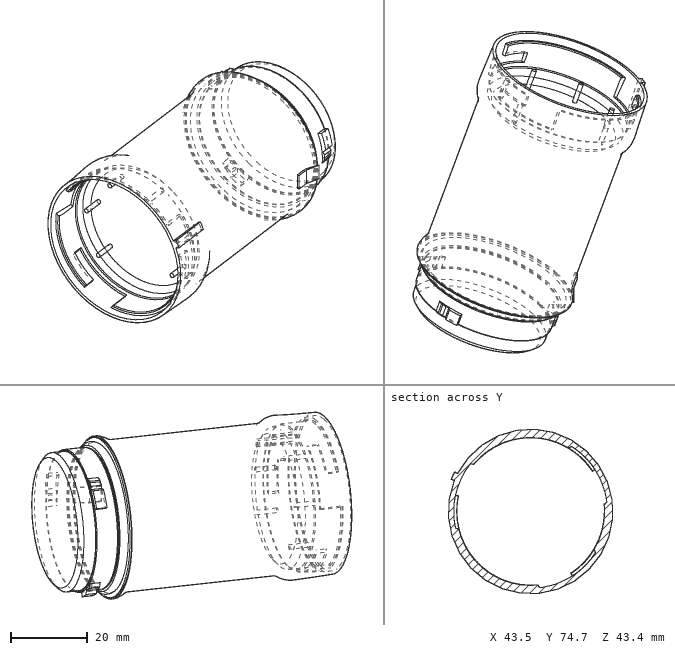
import cadquery as cq
import math


LENGTH = 74.7
BODY_R = 20.0
BELL_R = 21.7
MOUTH_R = 21.3
BELL_Y = 10.9
BELL_CROWN = (21.45, 12.4)
BELL_SHOULDER_Y = 13.6
BELL_SHOULDER_R = 20.85
BELL_FILLET = (20.25, 14.7)
BELL_END_Y = 16.0
FLANGE_START_Y = 56.8
FLANGE_FILLET = (20.2, 57.8)
FLANGE_WAIST_Y = 59.0
FLANGE_WAIST_R = 20.6
FLANGE_CROWN = (21.2, 60.15)
FLANGE_Y = 61.3
FLANGE_END_Y = 61.7
FLANGE_R = 21.45
FLANGE_LIP_R = 21.1
BEAD_END_Y = 63.8
BEAD_CREST_Y = 62.55
BEAD_START_R = 19.8
BEAD_END_R = 19.2
NECK_START_Y = 64.1
NECK_R = 18.75
NECK_CHAMFER = 0.2
NECK_GROOVE_R = NECK_R - NECK_CHAMFER
COLLAR_Y = 70.2
COLLAR_CHAMFER = 0.2
SPIGOT_R = 18.3
SPIGOT_CHAMFER = 1.2

BORE_MOUTH_R = 20.4
BORE_SEAT_R = 19.9
SEAT_Y = 8.15
THROAT_STEP_Y = 9.35
THROAT_Y = 9.65
THROAT_R = 18.9
CONE_Y = 11.95
CONE_R = 18.7
DISC_Y = 13.45
DISC_R = 17.1

LAND_R = 19.2
LAND_Y = 2.1
BORE_LAND_R = BORE_MOUTH_R + (BORE_SEAT_R - BORE_MOUTH_R) * LAND_Y / SEAT_Y
LAND_CHAMFER = 0.3
LAND_LEAD_Y = 3.4
LAND_LEAD_R = 19.35
SLOT_Y = 5.3
ENTRY_STARTS = (12.2, 147.0, 237.0)
ENTRY_SPAN = 28.0
STOP_DRAFT = 2.5
SLOT_SPAN = 26.6

PIN_R = 0.6
PIN_CIRCLE_R = 14.8
PIN_TIP_Y = 7.9
PIN_ROOT = 0.75
PIN_ANGLES = (15.0, 67.0, 119.0, 171.0, 223.0, 330.0)

LATCH_START_Y = 67.0
LATCH_END_Y = 69.95
LATCH_R = 20.0
LATCH_ROOT_R = NECK_R - 0.75
TOOTH_TIP_R = 19.5
TOOTH_ROOT_R = 19.3
LATCH_VALLEY_R = 19.0
FIRST_TIP = 4.0
SECOND_ROOT = 5.0
SECOND_TIP = 8.5
LATCH_VALLEY = 10.5
TEETH_SPAN = 13.0
LATCHES = ((-4.5, 14.0), (128.0, 14.0), (225.5, 9.5))

KEY_R = 22.35
KEY_ROOT_R = 20.8
KEY_ANGLE = 24.8
KEY_SPAN = 5.5
MARK_R = 20.5
MARK_TIP_R = 21.8
MARK_START_Y = 54.2
MARK_BEND_Y = 57.4
MARK_WIDTH = 4.2


def polar(radius, angle):
    """Point in the XZ plane at the given radius and angle in degrees."""
    turn = math.radians(angle)
    return radius * math.cos(turn), radius * math.sin(turn)


def along_y(sketch, start, end):
    """Extrude a closed XZ sketch between two Y positions."""
    return sketch.extrude(start - end).translate((0, start, 0))


def revolve(outline):
    """Close a radius-against-Y outline and spin it round the Y axis."""
    return outline.close().revolve(360, (0, 0, 0), (0, 1, 0))


def sector(first, last, outer_r, start, end):
    """Pie slice round the Y axis between two angles."""
    outline = (
        cq.Workplane("XZ")
        .lineTo(*polar(outer_r, first))
        .threePointArc(polar(outer_r, (first + last) / 2), polar(outer_r, last))
        .close()
    )
    return along_y(outline, start, end)


def make_sleeve():
    outline = (
        cq.Workplane("XY")
        .lineTo(MOUTH_R, 0)
        .lineTo(BELL_R, BELL_Y)
        .threePointArc(BELL_CROWN, (BELL_SHOULDER_R, BELL_SHOULDER_Y))
        .threePointArc(BELL_FILLET, (BODY_R, BELL_END_Y))
        .lineTo(BODY_R, FLANGE_START_Y)
        .threePointArc(FLANGE_FILLET, (FLANGE_WAIST_R, FLANGE_WAIST_Y))
        .threePointArc(FLANGE_CROWN, (FLANGE_R, FLANGE_Y))
        .lineTo(FLANGE_LIP_R, FLANGE_Y)
        .lineTo(FLANGE_LIP_R, FLANGE_END_Y)
        .lineTo(BEAD_START_R, FLANGE_END_Y)
        .threePointArc((BODY_R, BEAD_CREST_Y), (BEAD_END_R, BEAD_END_Y))
        .lineTo(NECK_GROOVE_R, BEAD_END_Y)
        .lineTo(NECK_GROOVE_R, NECK_START_Y)
        .lineTo(NECK_R, NECK_START_Y + NECK_CHAMFER)
        .lineTo(NECK_R, COLLAR_Y - COLLAR_CHAMFER)
        .lineTo(NECK_R - COLLAR_CHAMFER, COLLAR_Y)
        .lineTo(SPIGOT_R, COLLAR_Y)
        .lineTo(SPIGOT_R, LENGTH - SPIGOT_CHAMFER)
        .lineTo(SPIGOT_R - SPIGOT_CHAMFER, LENGTH)
        .lineTo(0, LENGTH)
    )
    return revolve(outline)


def make_cavity():
    """Space inside the mouth, narrowed to the land radius between the chamfered land edge and the throat."""
    outline = (
        cq.Workplane("XY")
        .lineTo(BORE_MOUTH_R, 0)
        .lineTo(BORE_LAND_R, LAND_Y)
        .lineTo(LAND_LEAD_R + LAND_CHAMFER, LAND_Y)
        .lineTo(LAND_LEAD_R, LAND_Y + LAND_CHAMFER)
        .lineTo(LAND_R, LAND_LEAD_Y)
        .lineTo(LAND_R, THROAT_STEP_Y)
        .lineTo(THROAT_R, THROAT_Y)
        .lineTo(CONE_R, CONE_Y)
        .lineTo(DISC_R, DISC_Y)
        .lineTo(0, DISC_Y)
    )
    return revolve(outline)


def pocket(first_inner, first_outer, last_inner, last_outer, start, end):
    """Annular cutter across the lands whose two ends may lean away from the radial direction."""
    inner_r = LAND_R - LAND_CHAMFER
    middle_outer = (first_outer + last_outer) / 2
    middle_inner = (first_inner + last_inner) / 2
    outline = (
        cq.Workplane("XZ")
        .moveTo(*polar(inner_r, first_inner))
        .lineTo(*polar(BORE_MOUTH_R, first_outer))
        .threePointArc(polar(BORE_MOUTH_R, middle_outer), polar(BORE_MOUTH_R, last_outer))
        .lineTo(*polar(inner_r, last_inner))
        .threePointArc(polar(inner_r, middle_inner), polar(inner_r, first_inner))
        .close()
    )
    return along_y(outline, start, end)


def make_bayonet():
    """Entries and hidden locking slots that break the lands, as deep as the tapered bore."""
    bore = revolve(
        cq.Workplane("XY")
        .lineTo(BORE_MOUTH_R, 0)
        .lineTo(BORE_SEAT_R, SEAT_Y)
        .lineTo(0, SEAT_Y)
    )
    cutters = cq.Workplane("XZ")
    for start in ENTRY_STARTS:
        entry_end = start + ENTRY_SPAN
        slot_end = start - SLOT_SPAN
        entry = pocket(start, start, entry_end, entry_end - STOP_DRAFT, 0, SEAT_Y)
        slot = pocket(slot_end, slot_end + STOP_DRAFT, start, start, SLOT_Y, SEAT_Y)
        cutters = cutters.add(entry.union(slot).intersect(bore))
    return cutters.combine()


def make_pin(angle):
    section = cq.Workplane("XZ").center(*polar(PIN_CIRCLE_R, angle)).circle(PIN_R)
    return along_y(section, PIN_TIP_Y, DISC_Y + PIN_ROOT)


def make_latch(foot, block_span):
    """Two small saw teeth and a valley, followed by a long raised block."""
    block_start = foot + TEETH_SPAN
    block_end = block_start + block_span
    outline = (
        cq.Workplane("XZ")
        .moveTo(*polar(LATCH_ROOT_R, foot))
        .lineTo(*polar(NECK_R, foot))
        .lineTo(*polar(TOOTH_TIP_R, foot + FIRST_TIP))
        .lineTo(*polar(TOOTH_ROOT_R, foot + SECOND_ROOT))
        .lineTo(*polar(TOOTH_TIP_R, foot + SECOND_TIP))
        .lineTo(*polar(LATCH_VALLEY_R, foot + LATCH_VALLEY))
        .lineTo(*polar(LATCH_R, block_start))
        .threePointArc(polar(LATCH_R, (block_start + block_end) / 2), polar(LATCH_R, block_end))
        .lineTo(*polar(LATCH_ROOT_R, block_end))
        .close()
    )
    return along_y(outline, LATCH_START_Y, LATCH_END_Y)


def make_key():
    first, last = KEY_ANGLE - KEY_SPAN / 2, KEY_ANGLE + KEY_SPAN / 2
    hub = cq.Workplane("XZ").circle(KEY_ROOT_R)
    return sector(first, last, KEY_R, 0, BELL_Y).cut(along_y(hub, 0, BELL_Y))


def make_mark():
    return (
        cq.Workplane("XY")
        .moveTo(NECK_R, MARK_START_Y)
        .lineTo(MARK_R, MARK_START_Y)
        .lineTo(MARK_R, MARK_BEND_Y)
        .lineTo(MARK_TIP_R, FLANGE_Y)
        .lineTo(NECK_R, FLANGE_Y)
        .close()
        .extrude(MARK_WIDTH / 2, both=True)
    )


result = make_sleeve().cut(make_cavity()).cut(make_bayonet())
result = result.union(make_key()).union(make_mark())
for pin_angle in PIN_ANGLES:
    result = result.union(make_pin(pin_angle))
for foot_angle, block_angle in LATCHES:
    result = result.union(make_latch(foot_angle, block_angle))
result = result.clean()